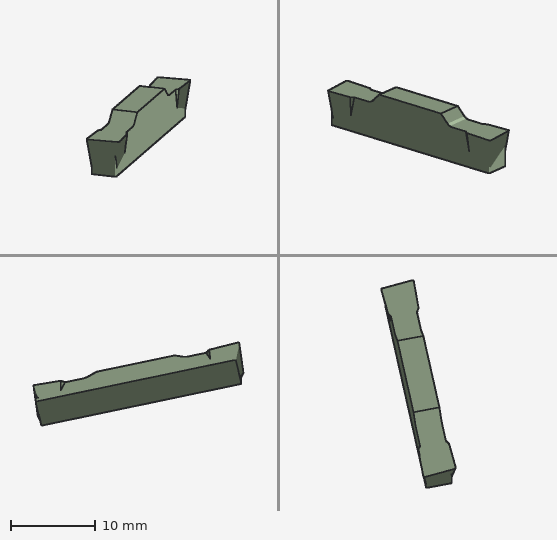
import cadquery as cq
import math

overall_length = 25.4
overall_height = 5.8
seat_height = 4.47

bar_width = 3.15
bar_length = 24.4
ridge_half_length = 4.75
ramp_angle = 45.0
ramp_foot_radius = 1.0

head_width = 4.05
break_y = 9.02
neck_y = 8.6
side_taper = 2.5
lead_angle = 5.0
relief_angle = 7.0
corner_radius = 0.18


def make_bar():
    """Bar with a raised centre, concave ramp feet and rounded vertical corners."""
    rise = overall_height - seat_height
    ramp_foot_y = ridge_half_length + rise / math.tan(math.radians(ramp_angle))
    profile = [
        (-bar_length / 2, 0),
        (bar_length / 2, 0),
        (bar_length / 2, seat_height),
        (ramp_foot_y, seat_height),
        (ridge_half_length, overall_height),
        (-ridge_half_length, overall_height),
        (-ramp_foot_y, seat_height),
        (-bar_length / 2, seat_height),
    ]
    bar = cq.Workplane("YZ").polyline(profile).close().extrude(bar_width / 2, both=True)
    bar = bar.edges("|Z").fillet(corner_radius)
    for y in (-ramp_foot_y, ramp_foot_y):
        foot = cq.selectors.NearestToPointSelector((0, y, seat_height))
        bar = bar.edges(foot).fillet(ramp_foot_radius)
    return bar


def make_front_head():
    """Head at -Y: skewed cutting edge on top, flanks leaning inwards below it."""
    lead_slope = math.tan(math.radians(lead_angle))
    taper_slope = math.tan(math.radians(side_taper))
    half_corner = math.radians(90 - lead_angle - side_taper) / 2
    tangent_length = corner_radius / math.tan(half_corner)
    half_width = head_width / 2 + tangent_length * math.sin(math.radians(side_taper))
    tip_y = -overall_length / 2 - tangent_length * math.sin(math.radians(lead_angle))
    trailing_y = tip_y + 2 * half_width * lead_slope
    break_half_width = half_width - (overall_length / 2 - break_y) * taper_slope
    outline = [
        (-half_width, tip_y),
        (half_width, trailing_y),
        (break_half_width, -break_y),
        (bar_width / 2, -neck_y),
        (-bar_width / 2, -neck_y),
        (-break_half_width, -break_y),
    ]
    head = (
        cq.Workplane("XY", origin=(0, 0, seat_height))
        .polyline(outline)
        .close()
        .extrude(-seat_height, taper=relief_angle)
    )
    for x, y in outline[:2]:
        inset = seat_height / 2 * math.tan(math.radians(relief_angle))
        middle = (x - math.copysign(inset, x), y + inset, seat_height / 2)
        head = head.edges(cq.selectors.NearestToPointSelector(middle)).fillet(corner_radius)
    return head


front_head = make_front_head()
back_head = front_head.rotate((0, 0, 0), (0, 0, 1), 180)
result = make_bar().union(front_head).union(back_head).clean()